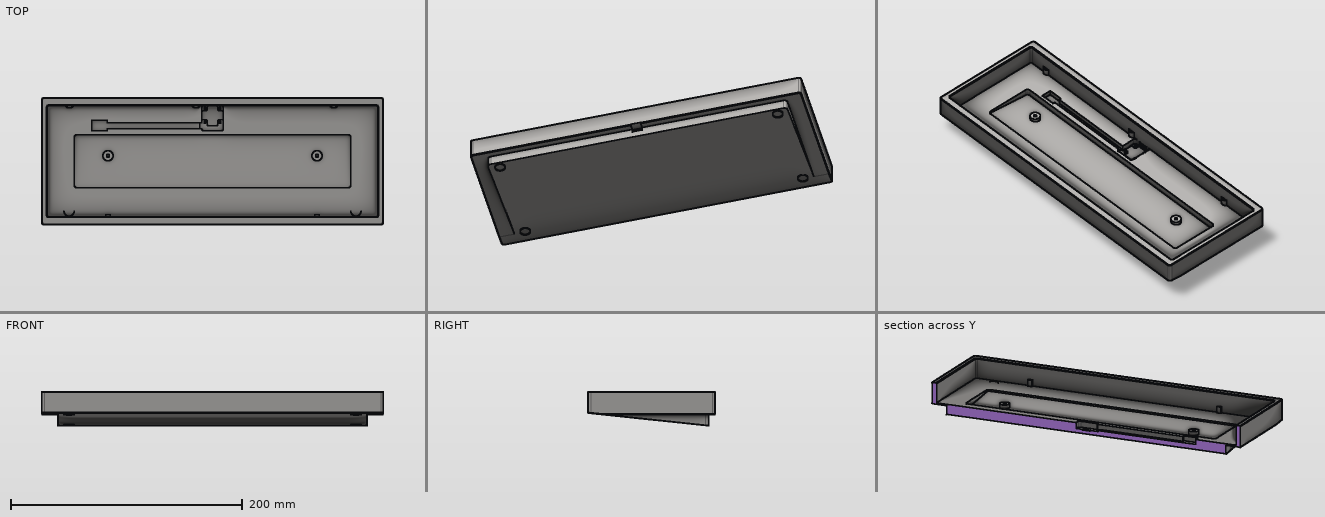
import cadquery as cq
import math

length = 295.7
width = 110.3
total_height = 29.5
tray_height = 19.8
end_wall = 4.7
side_wall = 7.0
floor_thickness = 1.8
outer_corner_radius = 2.5
inner_corner_radius = 1.5
top_chamfer = 0.45
bottom_chamfer = 0.5
rim_chamfer = 0.65

cavity_depth = tray_height - floor_thickness
cavity_length = length - 2 * end_wall
cavity_width = width - 2 * side_wall
inner_wall_y = cavity_width / 2

tilt_angle = 6.0
slope = math.tan(math.radians(tilt_angle))
base_length = 268.0
base_width = 99.5
base_corner_radius = 3.0
base_back_y = base_width / 2

recess_length = 239.5
recess_width = 45.8
recess_corner_radius = 2.5
recess_skin = 2.5

boss_diameter = 9.0
boss_hole_diameter = 2.5
boss_height = 3.3
boss_x = 90.5
boss_y = 4.7

foot_diameter = 9.0
foot_depth = 1.0
foot_x = 124.2
foot_y = 43.2

pocket_length = 19.0
pocket_front_y = 26.3
pocket_corner_radius = 2.0
pocket_depth = 6.0
ledge_depth = 5.3
channel_depth = 4.5
middle_front_y = 35.8
middle_back_y = 43.8
stem_length = 9.2
stem_front_y = 30.8
cross_corner_radius = 1.2
channel_front_y = 28.0
channel_back_y = 33.5
channel_left_x = -104.7
channel_step_x = -11.2
channel_end_length = 13.5
channel_end_width = 9.2

pin_diameter = 1.6
pin_x = 6.5
pin_rows_y = (33.7, 45.8)
pin_height = 1.0

port_length = 9.0
port_height = 3.5
port_top_z = -19.0

stop_height = 5.5
stop_reach = 1.92
round_stop_radius = 4.0
round_stops_x = (-124.0, -14.2, 105.0)
square_stop_length = 3.8
square_stops_x = (-boss_x, boss_x)


def underside_z(y):
    """Height of the sloping underside at a given y."""
    return -total_height + (base_back_y - y) * slope


def block(x_min, x_max, y_min, y_max, z_min, z_max):
    """Box given by its limits along each axis."""
    return (
        cq.Workplane("XY")
        .box(x_max - x_min, y_max - y_min, z_max - z_min, centered=False)
        .translate((x_min, y_min, z_min))
    )


def rounded_block(block_length, block_width, z_min, z_max, radius):
    """Centred box with rounded vertical edges."""
    half_length = block_length / 2
    half_width = block_width / 2
    body = block(-half_length, half_length, -half_width, half_width, z_min, z_max)
    return body.edges("|Z").fillet(radius)


def cylinder(x, y, z_min, z_max, diameter):
    """Upright cylinder."""
    return (
        cq.Workplane("XY", origin=(x, y, z_min))
        .circle(diameter / 2)
        .extrude(z_max - z_min)
    )


def above_slope(offset):
    """Large solid lying above the underside plane raised by an offset."""
    return (
        cq.Workplane("YZ")
        .moveTo(-width, underside_z(-width) + offset)
        .lineTo(width, underside_z(width) + offset)
        .lineTo(width, width)
        .lineTo(-width, width)
        .close()
        .extrude(length, both=True)
    )


def make_shell():
    """Hollow tray and sloping base; the tilted plane also trims the tray's lower front edge."""
    tray = rounded_block(length, width, -tray_height, 0, outer_corner_radius)
    tray = tray.faces(">Z").edges().chamfer(top_chamfer)
    tray = tray.intersect(above_slope(0))
    bottom_zone = cq.selectors.BoxSelector((-length, -width, -total_height), (length, width, -cavity_depth))
    tray = tray.edges("|X").edges("<Y or >Y").edges(bottom_zone).chamfer(bottom_chamfer)
    base = rounded_block(base_length, base_width, -total_height, -cavity_depth, base_corner_radius)
    cavity = rounded_block(cavity_length, cavity_width, -cavity_depth, 0, inner_corner_radius)
    rim = rounded_block(
        cavity_length + 2 * rim_chamfer,
        cavity_width + 2 * rim_chamfer,
        -rim_chamfer,
        rim_chamfer,
        inner_corner_radius + rim_chamfer,
    )
    rim = rim.faces("<Z").edges().chamfer(rim_chamfer)
    return tray.union(base.intersect(above_slope(0))).cut(cavity).cut(rim)


def make_recess():
    """Cutter for the sloping floor recess."""
    recess = rounded_block(recess_length, recess_width, -total_height, -cavity_depth, recess_corner_radius)
    return recess.intersect(above_slope(recess_skin))


def add_bosses(body):
    """Screw bosses with blind holes down to the recess floor."""
    boss_floor = underside_z(boss_y) + recess_skin
    boss_root = boss_floor - recess_skin / 2
    boss_top = boss_floor + boss_height
    for x in (-boss_x, boss_x):
        body = body.union(cylinder(x, boss_y, boss_root, boss_top, boss_diameter))
        body = body.cut(cylinder(x, boss_y, boss_floor, boss_top, boss_hole_diameter))
    return body


def cut_feet(body):
    """Shallow round pockets square to the sloping underside."""
    for x in (-foot_x, foot_x):
        for y in (-foot_y, foot_y):
            foot = (
                cq.Workplane("XY")
                .circle(foot_diameter / 2)
                .extrude(foot_depth, both=True)
                .rotate((0, 0, 0), (1, 0, 0), -tilt_angle)
                .translate((x, y, underside_z(y)))
            )
            body = body.cut(foot)
    return body


def cut_electronics(body):
    """Cable channel, ledge and deep cross-shaped pocket."""
    top = -cavity_depth
    half_pocket = pocket_length / 2
    half_stem = stem_length / 2
    channel_y = (channel_front_y + channel_back_y) / 2
    ledge = block(-half_pocket, half_pocket, pocket_front_y, inner_wall_y, top - ledge_depth, top)
    ledge = ledge.edges("|Z").fillet(pocket_corner_radius)
    channel = block(channel_left_x, 0, channel_front_y, channel_back_y, top - channel_depth, top)
    channel_end = block(
        channel_left_x,
        channel_left_x + channel_end_length,
        channel_y - channel_end_width / 2,
        channel_y + channel_end_width / 2,
        top - channel_depth,
        top,
    )
    channel_drop = block(channel_step_x, 0, channel_front_y, channel_back_y, top - ledge_depth, top)
    middle = block(-half_pocket, half_pocket, middle_front_y, middle_back_y, top - pocket_depth, top)
    stem = block(-half_stem, half_stem, stem_front_y, inner_wall_y, top - pocket_depth, top)
    cross = middle.union(stem).edges("|Z").fillet(cross_corner_radius)
    for cutter in (ledge, channel, channel_end, channel_drop, cross):
        body = body.cut(cutter)
    return body


def add_pins(body):
    """Short board pins standing on the ledge corners."""
    ledge_z = -cavity_depth - ledge_depth
    for x in (-pin_x, pin_x):
        for y in pin_rows_y:
            body = body.union(cylinder(x, y, ledge_z, ledge_z + pin_height, pin_diameter))
    return body


def make_port():
    """Cutter for the connector opening."""
    return block(
        -port_length / 2,
        port_length / 2,
        inner_wall_y,
        width / 2,
        port_top_z - port_height,
        port_top_z,
    )


def add_stops(body):
    """Round stops on the back wall and square stops on the front wall."""
    stop_top = -cavity_depth + stop_height
    round_stop_y = inner_wall_y - stop_reach + round_stop_radius
    for x in round_stops_x:
        body = body.union(cylinder(x, round_stop_y, -cavity_depth, stop_top, 2 * round_stop_radius))
    for x in square_stops_x:
        half = square_stop_length / 2
        stop = block(x - half, x + half, -inner_wall_y, stop_reach - inner_wall_y, -cavity_depth, stop_top)
        body = body.union(stop)
    return body


result = make_shell().cut(make_recess())
result = add_bosses(result)
result = cut_feet(result)
result = cut_electronics(result)
result = add_pins(result)
result = result.cut(make_port())
result = add_stops(result)